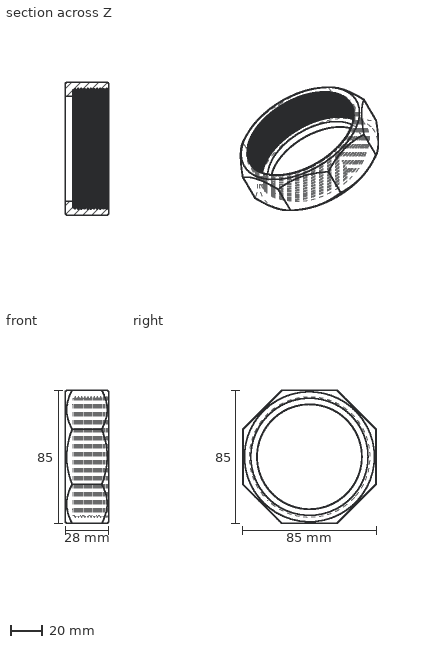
import cadquery as cq
import math

side_count = 8
width = 28.0
across_flats = 85.0
corner_radius = across_flats / 2 / math.cos(math.pi / side_count)

face_radius = 41.5
chamfer_angle = 45.0
corner_clearance = 0.85

lip_radius = 33.4
lip_length = 5.0
thread_radius = 37.4
groove_depth = 1.1
groove_count = 11
crest_width = 0.8
groove_pitch = (width - lip_length - crest_width) / groove_count


def octagon_body():
    """Octagonal prism standing on a flat, centred on X."""
    return (
        cq.Workplane("YZ")
        .polygon(side_count, 2 * corner_radius)
        .extrude(width)
        .rotate((0, 0, 0), (1, 0, 0), 180 / side_count)
        .translate((-width / 2, 0, 0))
    )


def chamfer_envelope():
    """Solid of revolution whose two cones trim the octagon corners."""
    outer_radius = corner_radius + corner_clearance
    cone_length = (outer_radius - face_radius) * math.tan(math.radians(chamfer_angle))
    half = width / 2
    return (
        cq.Workplane("XY")
        .moveTo(-half, 0)
        .lineTo(-half, face_radius)
        .lineTo(-half + cone_length, outer_radius)
        .lineTo(half - cone_length, outer_radius)
        .lineTo(half, face_radius)
        .lineTo(half, 0)
        .close()
        .revolve(360, (0, 0, 0), (1, 0, 0))
    )


def threaded_bore():
    """Lip opening, then a wider bore with V-shaped rings standing in for the thread."""
    lip_end = -width / 2 + lip_length
    thread_start = lip_end + crest_width
    profile = (
        cq.Workplane("XY")
        .moveTo(-width / 2, 0)
        .lineTo(-width / 2, lip_radius)
        .lineTo(lip_end, lip_radius)
        .lineTo(lip_end, thread_radius)
    )
    groove_width = groove_pitch - crest_width
    for index in range(groove_count):
        start = thread_start + index * groove_pitch
        profile = (
            profile.lineTo(start, thread_radius)
            .lineTo(start + groove_width / 2, thread_radius + groove_depth)
            .lineTo(start + groove_width, thread_radius)
        )
    return (
        profile.lineTo(width / 2, thread_radius)
        .lineTo(width / 2, 0)
        .close()
        .revolve(360, (0, 0, 0), (1, 0, 0))
    )


result = octagon_body().intersect(chamfer_envelope()).cut(threaded_bore())